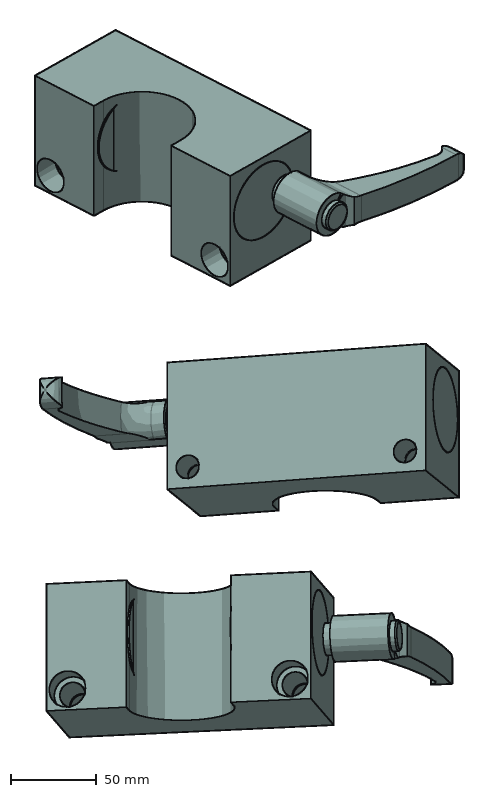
import cadquery as cq
import math


block_length = 157.0
block_depth = 68.0
block_height = 76.0
bore_radius = 31.0
bore_to_front = 8.0
front_y = -bore_to_front
half_length = block_length / 2

bolt_hole_diameter = 15.0
bolt_head_diameter = 21.5
bolt_head_depth = 15.0
thread_core_diameter = 13.84
thread_length = 24.0
bolt_edge_distance = 12.5

jaw_bore_diameter = 50.0
jaw_clearance = 0.2
jaw_diameter = jaw_bore_diameter - 2 * jaw_clearance
jaw_y = front_y + 28.0
jaw_z = 46.0
jaw_gap = 60.0
jaw_length = (block_length - jaw_gap) / 2
spindle_diameter = 10.0
spindle_grip = jaw_length / 2

lever_y = front_y + 45.0
lever_z = jaw_z
neck_diameter = 19.0
neck_length = 4.9
hub_diameter = 27.0
hub_end = 39.3
cap_diameter = 18.0
cap_end = 43.5
cap_chamfer = 1.0

hub_radius = hub_diameter / 2
shoulder_radius = 13.3
lever_reach = 95.2
blade_thickness = 18.0
blade_half = blade_thickness / 2

root_fillet = 17.0
fillet_centre_distance = hub_radius + root_fillet
fillet_z = blade_half + root_fillet
fillet_y = math.sqrt(fillet_centre_distance**2 - fillet_z**2)
root_y = fillet_y * hub_radius / fillet_centre_distance
root_z = fillet_z * hub_radius / fillet_centre_distance

flare_start = 12.9
flare_radius = 18.0
flare_angle = math.radians(60)
inner_middle = (40.6, 48.5)
throat_start = (48.6, 78.3)
throat_middle = (48.2, 82.7)
knob_start = (45.4, 86.1)
knob_middle = (44.4, 88.2)
knob_end = (45.4, 91.0)
crown_middle = (48.2, 93.7)
crown_end = (52.2, lever_reach)

back_x = 56.61
back_corner_radius = 4.0
back_radius = 270.0
back_arc_top = 88.0
back_arc_bottom = 16.3
heel_lip = (45.9, 11.3)
heel_inner = (41.8, 8.0)
heel_middle = (40.0, 5.0)


def make_block():
    """Block with an open-fronted bore, bolt holes, two jaw bores and the spindle hole."""
    body = (
        cq.Workplane("XY")
        .box(block_length, block_depth, block_height, centered=(True, False, False))
        .translate((0, front_y, 0))
    )
    body = body.cut(make_bore_space())
    bolt_x = half_length - bolt_edge_distance
    for x in (-bolt_x, bolt_x):
        body = body.cut(make_bolt_hole(x))
    return body.cut(make_jaw_pair(jaw_bore_diameter)).cut(make_spindle())


def make_bore_space():
    """Upright bore whose straight sides run out through the front of the block."""
    return (
        cq.Workplane("XY")
        .moveTo(-bore_radius, front_y)
        .lineTo(-bore_radius, 0)
        .threePointArc((0, bore_radius), (bore_radius, 0))
        .lineTo(bore_radius, front_y)
        .close()
        .extrude(block_height)
    )


def make_bolt_hole(x):
    """Through hole along Y, counterbored at the front and narrowed to a thread core at the back."""
    axis = cq.Workplane("XZ", origin=(x, front_y, bolt_edge_distance))
    head = axis.circle(bolt_head_diameter / 2).extrude(-bolt_head_depth)
    shank = axis.circle(bolt_hole_diameter / 2).extrude(thread_length - block_depth)
    core = axis.circle(thread_core_diameter / 2).extrude(-block_depth)
    return core.union(shank).union(head)


def make_jaw_pair(diameter):
    """Two coaxial round bars, each running inwards from an end face of the block."""
    return (
        cq.Workplane("YZ", origin=(-half_length, jaw_y, jaw_z))
        .circle(diameter / 2)
        .extrude(jaw_length)
        .union(
            cq.Workplane("YZ", origin=(half_length, jaw_y, jaw_z))
            .circle(diameter / 2)
            .extrude(-jaw_length)
        )
    )


def make_spindle():
    """Round bar on the lever axis that joins both jaws to the lever."""
    return (
        cq.Workplane("YZ", origin=(-jaw_gap / 2 - spindle_grip, lever_y, lever_z))
        .circle(spindle_diameter / 2)
        .extrude(half_length + jaw_gap / 2 + spindle_grip)
    )


def lever_cylinder(start, end, diameter):
    """Round length of the lever, concentric with its hub."""
    return (
        cq.Workplane("YZ", origin=(half_length + start, lever_y, lever_z))
        .circle(diameter / 2)
        .extrude(end - start)
    )


def lever_plane():
    """Mid-plane of the lever, with its origin on the hub axis at the end of the block."""
    return cq.Workplane("XY", origin=(half_length, lever_y, lever_z))


def make_blade_section():
    """Blade seen along the hub axis: filleted root, parallel sides and a half-round tip."""
    turn = (math.atan2(fillet_z, fillet_y) + math.pi / 2) / 2
    middle_y = fillet_y - root_fillet * math.cos(turn)
    middle_z = fillet_z - root_fillet * math.sin(turn)
    tip_y = lever_reach - blade_half
    return (
        cq.Workplane("YZ", origin=(half_length + neck_length, lever_y, lever_z))
        .moveTo(0, 0)
        .lineTo(root_y, root_z)
        .threePointArc((middle_y, middle_z), (fillet_y, blade_half))
        .lineTo(tip_y, blade_half)
        .threePointArc((lever_reach, 0), (tip_y, -blade_half))
        .lineTo(fillet_y, -blade_half)
        .threePointArc((middle_y, -middle_z), (root_y, -root_z))
        .close()
        .extrude(back_x - neck_length)
    )


def make_inner_side():
    """Solid of revolution about the hub axis that shapes the flare, throat and knob."""
    def flare_point(angle):
        return (
            flare_start + flare_radius * math.sin(angle),
            shoulder_radius + flare_radius * (1 - math.cos(angle)),
        )

    return (
        lever_plane()
        .moveTo(neck_length, 0)
        .lineTo(neck_length, shoulder_radius)
        .lineTo(flare_start, shoulder_radius)
        .threePointArc(flare_point(flare_angle / 2), flare_point(flare_angle))
        .threePointArc(inner_middle, throat_start)
        .threePointArc(throat_middle, knob_start)
        .threePointArc(knob_middle, knob_end)
        .threePointArc(crown_middle, crown_end)
        .lineTo(back_x, lever_reach)
        .lineTo(back_x, 0)
        .close()
        .revolve(360, (0, 0, 0), (1, 0, 0))
    )


def make_outer_side():
    """Flat-sided prism that shapes the rounded back corner, bowed back and heel."""
    def back_point(height):
        sag = back_radius - math.sqrt(back_radius**2 - (back_arc_top - height) ** 2)
        return (back_x - sag, height)

    corner_inset = back_corner_radius * (1 - math.sqrt(0.5))
    return (
        lever_plane()
        .moveTo(neck_length, 0)
        .lineTo(neck_length, lever_reach)
        .lineTo(back_x - back_corner_radius, lever_reach)
        .threePointArc(
            (back_x - corner_inset, lever_reach - corner_inset),
            (back_x, lever_reach - back_corner_radius),
        )
        .lineTo(*back_point(back_arc_top))
        .threePointArc(
            back_point((back_arc_top + back_arc_bottom) / 2),
            back_point(back_arc_bottom),
        )
        .lineTo(*heel_lip)
        .lineTo(*heel_inner)
        .threePointArc(heel_middle, (hub_end, 0))
        .close()
        .extrude(hub_diameter, both=True)
    )


def make_lever():
    """Neck, hub, end cap and curved blade; the hub drops to a shoulder between the blade roots."""
    neck = lever_cylinder(0, neck_length, neck_diameter)
    above_roots = (
        lever_plane()
        .box(hub_end, hub_radius, hub_diameter, centered=(False, False, True))
        .translate((neck_length, root_y, 0))
    )
    hub = lever_cylinder(neck_length, hub_end, hub_diameter).cut(above_roots)
    cap = lever_cylinder(hub_end, cap_end, cap_diameter).faces(">X").chamfer(cap_chamfer)
    blade = make_blade_section().intersect(make_inner_side()).intersect(make_outer_side())
    return neck.union(hub).union(cap).union(blade)


block = make_block()
jaws = make_jaw_pair(jaw_diameter)
clamp = jaws.union(make_spindle()).union(make_lever())

result = cq.Compound.makeCompound([block.val(), clamp.val()])